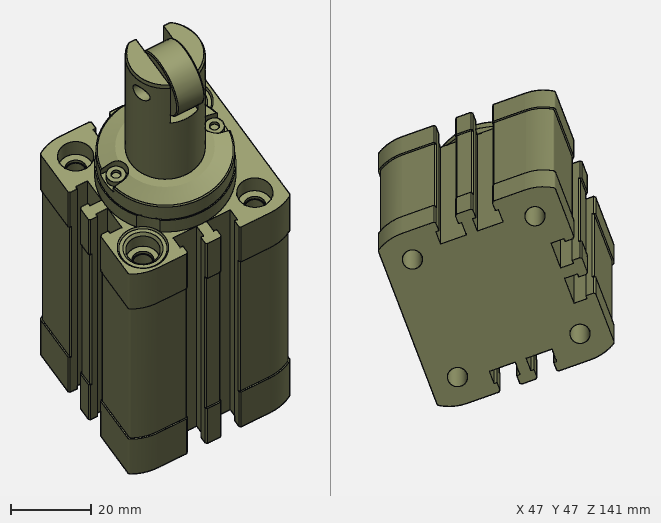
import cadquery as cq
import math

body_width = 47.0
body_height = 86.0
end_height = 15.0
waist_inset = 0.4
corner_fillet = 0.8
corner_arc_radius = 13.0
corner_arc_start = 16.4

slot_floor = 17.6
slot_mouth_width = 15.0
slot_pocket_width = 16.6
lip_depth = 2.5
rail_head_width = 4.6
rail_neck_width = 2.9
slot_edge_chamfer = 0.4
slot_directions = (-90, 0, 180)

hole_pitch = 32.5
hole_diameter = 5.0
pilot_diameter = 5.5
pilot_depth = 1.0
counterbore_diameter = 9.0
counterbore_depth = 5.5
ring_recess_diameter = 12.8
ring_recess_depth = 0.4
thread_diameter = 8.57
thread_mouth_diameter = 10.0

collar_diameter = 35.2
collar_height = 5.0

cover_diameter = 34.55
cover_height = 7.0
cover_top_diameter = 24.8
cover_cone_height = 1.4
cover_edge_chamfer = 0.35
screw_offset = 14.3
screw_slot_width = 6.2
screw_slot_depth = 3.4
screw_head_diameter = 4.92
screw_head_height = 1.9
screw_socket_diameter = 2.46
screw_socket_depth = 1.0

rod_diameter = 20.0
rod_top = 138.0
rod_flat = 7.5
rod_chamfer_height = 1.0
rod_chamfer_width = 0.4
fork_width = 8.0
fork_floor = 122.0
roller_diameter = 18.0
roller_x = 3.5
roller_z = 132.0
roller_chamfer = 0.3
pin_hole_diameter = 5.0

half_width = body_width / 2
collar_top = body_height + collar_height
cover_top = collar_top + cover_height
screw_floor = cover_top - screw_slot_depth
hole_offset = hole_pitch / 2


def disc(diameter, bottom, height, x=0.0, y=0.0):
    """Upright cylinder standing on the given level."""
    return cq.Workplane("XY", origin=(x, y, bottom)).circle(diameter / 2).extrude(height)


def outline(inset, bottom, height):
    """Square block whose left and right sides curve inward towards the corners."""
    side = half_width - inset
    radius = corner_arc_radius - inset
    centre_x = side - radius

    def arc_x(y):
        return centre_x + math.sqrt(radius**2 - (y - corner_arc_start)**2)

    corner_x = arc_x(side)
    middle_y = (corner_arc_start + side) / 2
    middle_x = arc_x(middle_y)
    return (
        cq.Workplane("XY", origin=(0, 0, bottom))
        .moveTo(side, -corner_arc_start)
        .lineTo(side, corner_arc_start)
        .threePointArc((middle_x, middle_y), (corner_x, side))
        .lineTo(-corner_x, side)
        .threePointArc((-middle_x, middle_y), (-side, corner_arc_start))
        .lineTo(-side, -corner_arc_start)
        .threePointArc((-middle_x, -middle_y), (-corner_x, -side))
        .lineTo(corner_x, -side)
        .threePointArc((middle_x, -middle_y), (side, -corner_arc_start))
        .close()
        .extrude(height)
        .edges("|Z and (<Y or >Y)").fillet(corner_fillet)
    )


def slot_pair(inset, bottom, height):
    """Material removed for the two slots of the +X side, leaving the rail between them."""
    face_x = half_width - inset
    chamfer_x = face_x - slot_edge_chamfer
    lip_x = half_width - lip_depth
    neck = rail_neck_width / 2
    head = rail_head_width / 2
    mouth = slot_mouth_width / 2
    upper_slot = (
        cq.Workplane("XY", origin=(0, 0, bottom))
        .moveTo(slot_floor, neck)
        .lineTo(lip_x, neck)
        .lineTo(lip_x, head)
        .lineTo(chamfer_x, head)
        .lineTo(face_x, head - slot_edge_chamfer)
        .lineTo(face_x, mouth + slot_edge_chamfer)
        .lineTo(chamfer_x, mouth)
        .lineTo(lip_x, mouth)
        .lineTo(lip_x, slot_pocket_width / 2)
        .lineTo(slot_floor, slot_pocket_width / 2)
        .close()
        .extrude(height)
    )
    return upper_slot.union(upper_slot.mirror("XZ"))


def profile_zone(inset, bottom, height):
    """One length of the slotted profile."""
    zone = outline(inset, bottom, height)
    for angle in slot_directions:
        zone = zone.cut(slot_pair(inset, bottom, height).rotate((0, 0, 0), (0, 0, 1), angle))
    return zone


def plain_hole(x, y):
    """Counterbored through hole."""
    floor = body_height - counterbore_depth
    return (
        disc(hole_diameter, 0, body_height, x, y)
        .union(disc(pilot_diameter, floor - pilot_depth, pilot_depth, x, y))
        .union(disc(counterbore_diameter, floor, counterbore_depth, x, y))
    )


def threaded_hole(x, y):
    """Through hole with a threaded mouth inside a shallow ring recess that also clips the collar."""
    floor = body_height - counterbore_depth
    recess_floor = body_height - ring_recess_depth
    thread_radius = thread_diameter / 2
    mouth_radius = thread_mouth_diameter / 2
    recess_radius = ring_recess_diameter / 2
    mouth = (
        cq.Workplane("XZ")
        .moveTo(0, floor)
        .lineTo(thread_radius, floor)
        .lineTo(thread_radius, recess_floor - (mouth_radius - thread_radius))
        .lineTo(mouth_radius, recess_floor)
        .lineTo(recess_radius - ring_recess_depth, recess_floor)
        .lineTo(recess_radius, body_height)
        .lineTo(recess_radius, collar_top)
        .lineTo(0, collar_top)
        .close()
        .revolve(360, (0, 0, 0), (0, 1, 0))
        .translate((x, y, 0))
    )
    return (
        disc(hole_diameter, 0, body_height, x, y)
        .union(disc(pilot_diameter, floor - pilot_depth, pilot_depth, x, y))
        .union(mouth)
    )


def make_housing():
    waist_height = body_height - 2 * end_height
    body = (
        profile_zone(0, 0, end_height)
        .union(profile_zone(waist_inset, end_height, waist_height))
        .union(profile_zone(0, body_height - end_height, end_height))
    )
    body = body.union(disc(collar_diameter, body_height, collar_height))
    for side in (-1, 1):
        body = body.cut(plain_hole(side * hole_offset, side * hole_offset))
        body = body.cut(threaded_hole(side * hole_offset, -side * hole_offset))
    return body


def rod_bar(bottom, height):
    """Round bar with a flat on its -X side."""
    flat_block = cq.Workplane("XY", origin=(-rod_flat, 0, bottom)).box(
        rod_flat + rod_diameter, rod_diameter, height, centered=(False, True, False)
    )
    return disc(rod_diameter, bottom, height).intersect(flat_block)


def make_rod():
    length = rod_top - collar_top
    chamfered_bar = (
        disc(rod_diameter, collar_top, length)
        .faces(">Z").chamfer(rod_chamfer_height, rod_chamfer_width)
    )
    fork = cq.Workplane("XY", origin=(0, 0, fork_floor)).box(
        2 * rod_diameter, fork_width, rod_top - fork_floor, centered=(True, True, False)
    )
    pin_hole = (
        cq.Workplane("XZ", origin=(roller_x, 0, roller_z))
        .circle(pin_hole_diameter / 2)
        .extrude(rod_diameter, both=True)
    )
    return rod_bar(collar_top, length).intersect(chamfered_bar).cut(fork).cut(pin_hole)


def make_roller():
    return (
        cq.Workplane("XZ", origin=(roller_x, fork_width / 2, roller_z))
        .circle(roller_diameter / 2)
        .extrude(fork_width)
        .faces("<Y or >Y").edges().chamfer(roller_chamfer)
    )


def screw_slot(side):
    """Round-ended slot for a screw head, open to the rim of the cover."""
    slot_end = disc(screw_slot_width, screw_floor, screw_slot_depth, 0, side * screw_offset)
    run_out = cq.Workplane("XY", origin=(0, side * (screw_offset + cover_diameter / 4), screw_floor)).box(
        screw_slot_width, cover_diameter / 2, screw_slot_depth, centered=(True, True, False)
    )
    return slot_end.union(run_out)


def make_cover():
    radius = cover_diameter / 2
    rim_top = cover_top - cover_cone_height
    cover = (
        cq.Workplane("XZ")
        .moveTo(0, collar_top)
        .lineTo(radius, collar_top)
        .lineTo(radius, rim_top - cover_edge_chamfer)
        .lineTo(radius - cover_edge_chamfer, rim_top)
        .lineTo(cover_top_diameter / 2, cover_top)
        .lineTo(0, cover_top)
        .close()
        .revolve(360, (0, 0, 0), (0, 1, 0))
    )
    cover = cover.cut(rod_bar(collar_top, cover_height))
    for side in (-1, 1):
        cover = cover.cut(screw_slot(side))
    return cover


def make_screw(side):
    """Screw head with a round socket, seated on the slot floor."""
    y = side * screw_offset
    socket_floor = screw_floor + screw_head_height - screw_socket_depth
    head = disc(screw_head_diameter, screw_floor, screw_head_height, 0, y)
    return head.cut(disc(screw_socket_diameter, socket_floor, screw_socket_depth, 0, y))


housing = make_housing()
cover = make_cover()
screws = [make_screw(side) for side in (-1, 1)]
rod = make_rod()
roller = make_roller()

result = cq.Compound.makeCompound(
    [housing.val(), cover.val(), *[screw.val() for screw in screws], rod.val(), roller.val()]
)